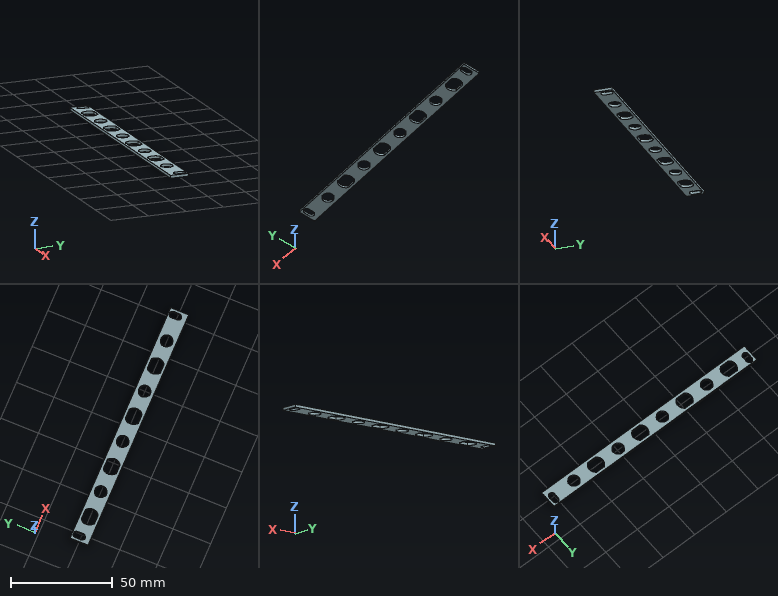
import cadquery as cq

length = 128.5
width = 9.8
thickness = 1.5

hole_pairs = 4
pair_pitch = 28.0
first_hole_x = -50.4
round_diameter = 6.0
flatted_diameter = 8.4
across_flats = 6.7

slot_length = 6.2
slot_width = 3.2
slot_center_x = 61.3
slot_center_y = 1.0

cut_height = 2 * thickness


def flatted_cutter():
    """Cylinder trimmed by two flats parallel to the strip's long sides."""
    cylinder = cq.Workplane("XY").circle(flatted_diameter / 2).extrude(cut_height / 2, both=True)
    return cylinder.intersect(cq.Workplane("XY").box(flatted_diameter, across_flats, cut_height))


flatted_centers = [(first_hole_x + i * pair_pitch, 0) for i in range(hole_pairs)]
round_centers = [(x + pair_pitch / 2, y) for x, y in flatted_centers]
slot_centers = [(side * slot_center_x, slot_center_y) for side in (-1, 1)]

result = cq.Workplane("XY").box(length, width, thickness)

for x, y in flatted_centers:
    result = result.cut(flatted_cutter().translate((x, y, 0)))

round_cutters = cq.Workplane("XY").pushPoints(round_centers).circle(round_diameter / 2)
result = result.cut(round_cutters.extrude(cut_height / 2, both=True))

slot_cutters = cq.Workplane("XY").pushPoints(slot_centers).slot2D(slot_length, slot_width, 90)
result = result.cut(slot_cutters.extrude(cut_height / 2, both=True))